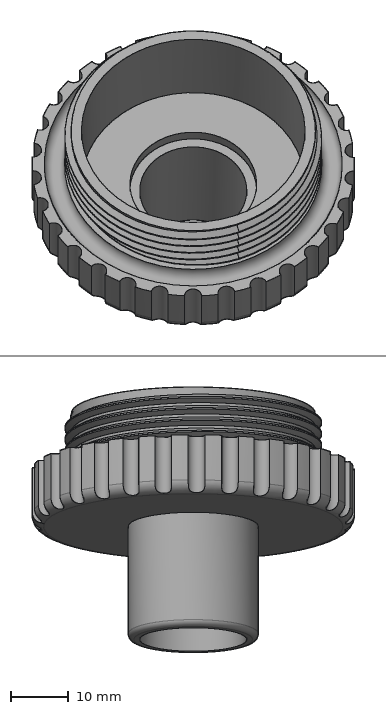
import cadquery as cq
import math

stem_diameter = 22.5
stem_length = 20.0
stem_fillet = 1.0
hole_diameter = 18.5

flange_diameter = 55.73
flange_height = 10.0
flange_fillet = 2.0

flute_count = 30

thread_diameter = 44.4
thread_pitch = 2.0
thread_turns = 4
thread_fade_angle = math.pi / 2

collar_height = 10.0
bore_diameter = 38.63
bore_floor = 4.0
recess_diameter = 21.9
recess_depth = 2.0

groove_outer_diameter = 51.5
groove_inner_diameter = 44.5

triangle_height = thread_pitch * math.sqrt(3) / 2
thread_depth = triangle_height * 5 / 8
crest_width = thread_pitch / 8
root_width = thread_pitch * 3 / 4
collar_radius = thread_diameter / 2 - thread_depth

thread_start = (collar_height - thread_turns * thread_pitch) / 2

flange_radius = flange_diameter / 2
flute_spacing = 360 / flute_count
flute_phase = flute_spacing / 4
flute_radius = 2 * flange_radius * math.sin(math.radians(flute_phase / 2))

top_z = flange_height + collar_height
groove_radius = (groove_outer_diameter - groove_inner_diameter) / 4
groove_center_radius = (groove_outer_diameter + groove_inner_diameter) / 4


def cylinder(diameter, bottom, top):
    """Upright cylinder on the Z axis between two heights."""
    return cq.Workplane("XY").workplane(offset=bottom).circle(diameter / 2).extrude(top - bottom)


def make_flange():
    flange = cylinder(flange_diameter, 0, flange_height).faces("<Z").edges().fillet(flange_fillet)
    flutes = (
        cq.Workplane("XY")
        .polarArray(flange_radius, flute_phase, 360, flute_count)
        .circle(flute_radius)
        .extrude(flange_height)
    )
    return flange.cut(flutes)


def make_groove():
    """Half-round ring groove in the top of the flange, around the collar."""
    return (
        cq.Workplane("XZ")
        .center(groove_center_radius, flange_height)
        .circle(groove_radius)
        .revolve(360, (-groove_center_radius, 0), (-groove_center_radius, 1))
    )


def make_housing():
    stem = cylinder(stem_diameter, -stem_length, bore_floor).faces("<Z").edges().fillet(stem_fillet)
    collar = cylinder(2 * collar_radius, 0, top_z)
    return (
        make_flange()
        .cut(make_groove())
        .union(stem)
        .union(collar)
        .cut(cylinder(bore_diameter, bore_floor, top_z))
        .cut(cylinder(recess_diameter, bore_floor - recess_depth, bore_floor))
        .cut(cylinder(hole_diameter, -stem_length, bore_floor))
    )


curve_samples = 48


def ridge_piece(start_angle, end_angle, start_scale=1.0, end_scale=1.0):
    """Solid length of right-hand ridge whose profile scales evenly from one end to the other.

    Angle 0 is the first full crest on the +X side; a scale of 0 tapers the ridge to a point.
    """
    def corner_curve(height, half_width):
        def point(t):
            angle = start_angle + t * (end_angle - start_angle)
            scale = start_scale + t * (end_scale - start_scale)
            radius = collar_radius + scale * height
            rise = thread_pitch * angle / (2 * math.pi)
            z = flange_height + thread_start + rise + scale * half_width
            return cq.Vector(radius * math.cos(angle), radius * math.sin(angle), z)

        return cq.Edge.makeSpline([point(i / curve_samples) for i in range(curve_samples + 1)])

    corners = [
        corner_curve(0, -root_width / 2),
        corner_curve(thread_depth, -crest_width / 2),
        corner_curve(thread_depth, crest_width / 2),
        corner_curve(0, root_width / 2),
    ]
    faces = [cq.Face.makeRuledSurface(corners[i - 1], corners[i]) for i in range(len(corners))]
    for end, scale in ((0, start_scale), (1, end_scale)):
        if scale > 0:
            outline = [curve.positionAt(end) for curve in corners]
            faces.append(cq.Face.makeFromWires(cq.Wire.makePolygon(outline, close=True)))
    ridge = cq.Solid.makeSolid(cq.Shell.makeShell(faces))
    return ridge.fix()


full_turn = 2 * math.pi
thread_end = thread_turns * full_turn

housing = make_housing()
thread_lead_in = ridge_piece(-thread_fade_angle, 0, start_scale=0)
thread_loops = [ridge_piece(i * full_turn, (i + 1) * full_turn) for i in range(thread_turns)]
thread_run_out = ridge_piece(thread_end, thread_end + thread_fade_angle, end_scale=0)

result = cq.Compound.makeCompound([housing.val(), thread_lead_in, *thread_loops, thread_run_out])